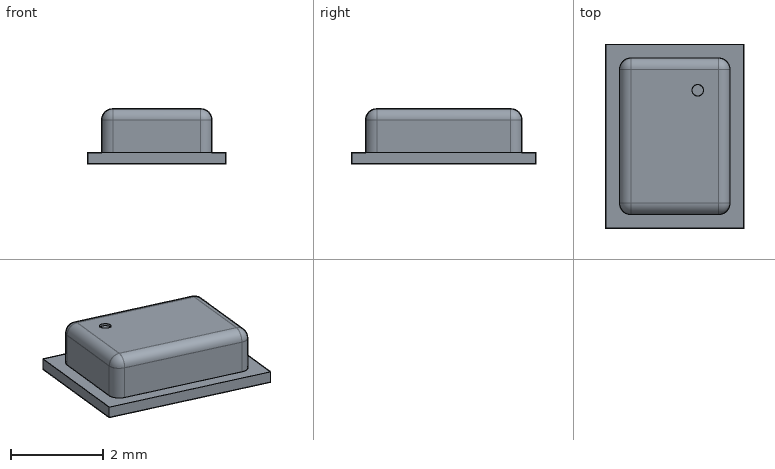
import cadquery as cq

board_width = 3.0
board_length = 4.0
board_thickness = 0.25
overall_height = 1.2

lid_margin = 0.3
lid_radius = 0.25
lid_width = board_width - 2 * lid_margin
lid_length = board_length - 2 * lid_margin
lid_height = overall_height - board_thickness

port_diameter = 0.25
port_depth = 0.05
port_x = 0.5
port_y = 1.0


def make_board():
    return cq.Workplane("XY").box(
        board_width, board_length, board_thickness, centered=(True, True, False)
    )


def make_lid():
    """Block with equal rounding on its upright corners and its top edges."""
    block = cq.Workplane("XY").workplane(offset=board_thickness).box(
        lid_width, lid_length, lid_height, centered=(True, True, False)
    )
    return block.edges("|Z or >Z").fillet(lid_radius)


def make_port():
    return (
        cq.Workplane("XY")
        .workplane(offset=overall_height - port_depth)
        .center(port_x, port_y)
        .circle(port_diameter / 2)
        .extrude(port_depth)
    )


result = make_board().union(make_lid()).cut(make_port())